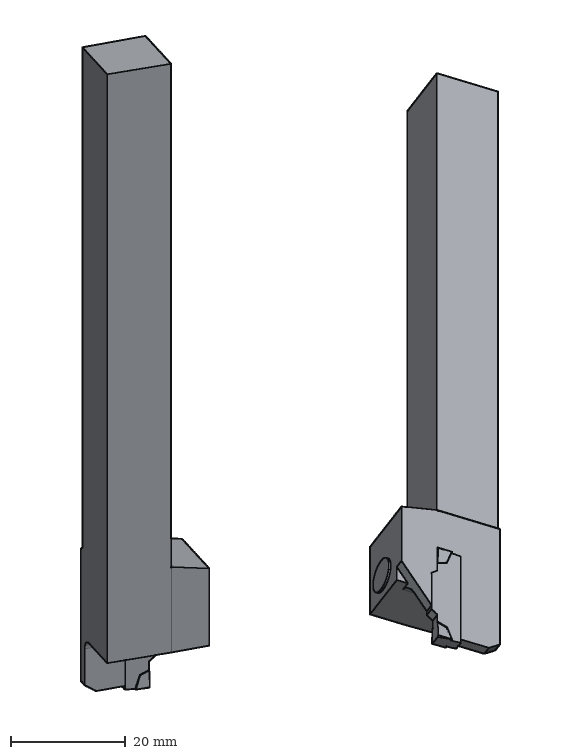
import cadquery as cq

total_height = 126.4
shank_left = 1.1
shank_depth = 11.9
right_at_front = 12.6
right_at_back = 13.0
head_left = 0.4
head_depth = 19.1
head_bottom = 11.8
ledge_height = 28.3
ledge_ridge = 12.4
ledge_back_height = 26.8
ramp_rise = shank_left - head_left

blade_right = 2.3
blade_bottom = 1.1
blade_fillet = 1.9
blade_nose_depth = 2.1
blade_nose_height = 2.7
blade_slope_top = 14.7
blade_slope_bottom_depth = 9.1

screw_x = 7.8
screw_z = 16.7
screw_radius = 3.2
screw_height = 0.4

insert_height = 20.0
insert_front = 7.6
insert_back = 12.1
pad_back = 13.3
pad_half_height = 4.0
pad_ramp = 0.9
end_relief = 0.4
tip_width = 2.7
tip_front = 9.5
tip_knee = 10.4
tip_height = 3.4
tip_knee_height = 2.8
tip_corner = 0.3
tip_taper = 0.3


def side_prism(points, left, right):
    """Prism along X from a closed outline of (y, z) points."""
    outline = cq.Workplane("YZ").workplane(offset=left).polyline(points).close()
    return outline.extrude(right - left)


def make_shank_and_head():
    shank = (
        cq.Workplane("XY").workplane(offset=head_bottom)
        .moveTo(shank_left, 0)
        .lineTo(right_at_back, 0)
        .lineTo(right_at_back, shank_depth)
        .lineTo(shank_left, shank_depth)
        .close().extrude(total_height - head_bottom)
    )
    head = side_prism(
        [
            (0, head_bottom),
            (head_depth, head_bottom),
            (head_depth, ledge_back_height),
            (ledge_ridge, ledge_height),
            (0, ledge_height),
        ],
        head_left, right_at_back,
    )
    ramp = (
        cq.Workplane("XZ")
        .polyline([
            (head_left, ledge_height),
            (shank_left, ledge_height),
            (shank_left, ledge_height + ramp_rise),
        ])
        .close().extrude(-shank_depth)
    )
    lean_cut = (
        cq.Workplane("XY")
        .polyline([(right_at_front, 0), (right_at_back, 0), (right_at_back, shank_depth)])
        .close().extrude(total_height)
    )
    return shank.union(head).union(ramp).cut(lean_cut)


def blade_outline():
    return [
        (0, blade_nose_height),
        (blade_nose_depth, blade_bottom),
        (blade_slope_bottom_depth, blade_bottom),
        (head_depth, blade_slope_top),
        (head_depth, ledge_back_height),
        (0, ledge_back_height),
    ]


def make_blade():
    """Sloped blade whose +X side blends into the head underside."""
    fillet_end = blade_right + blade_fillet
    blade_profile = (
        cq.Workplane("XZ")
        .moveTo(head_left, 0)
        .lineTo(blade_right, 0)
        .lineTo(blade_right, head_bottom - blade_fillet)
        .radiusArc((fillet_end, head_bottom), blade_fillet)
        .lineTo(head_left, head_bottom)
        .close().extrude(-head_depth)
    )
    return blade_profile.intersect(side_prism(blade_outline(), head_left, fillet_end))


def make_slope_relief():
    """Corner removed from the head where the blade slope runs up its -X side."""
    slope_run = head_depth - blade_slope_bottom_depth
    slope = (blade_slope_top - blade_bottom) / slope_run
    relief_front = head_depth - (blade_slope_top - head_bottom) / slope
    return side_prism(
        [(relief_front, head_bottom), (head_depth, head_bottom), (head_depth, blade_slope_top)],
        head_left, blade_right,
    )


def make_screw_head():
    return (
        cq.Workplane("XZ", origin=(0, head_depth, 0))
        .center(screw_x, screw_z)
        .circle(screw_radius).extrude(-screw_height)
    )


def make_lower_tip():
    """Cutting tip with bevelled corners and sides that taper in behind the edge."""
    relief_slope = end_relief / (insert_back - insert_front)
    side_outline = [
        (insert_back, 0),
        (tip_front, relief_slope * (insert_back - tip_front)),
        (tip_knee, tip_knee_height),
        (insert_back, tip_height),
    ]
    left_edge = [
        (tip_corner, 0),
        (0, tip_corner),
        (tip_taper, tip_height),
    ]
    right_edge = [(tip_width - x, z) for x, z in reversed(left_edge)]
    width_profile = cq.Workplane("XZ").polyline(left_edge + right_edge).close().extrude(-insert_back)
    return side_prism(side_outline, 0, tip_width).intersect(width_profile)


def make_insert():
    middle = insert_height / 2
    lower_half = [
        (insert_front, end_relief),
        (insert_back, 0),
        (insert_back, middle - pad_half_height - pad_ramp),
        (pad_back, middle - pad_half_height),
    ]
    upper_half = [(y, insert_height - z) for y, z in reversed(lower_half)]
    insert = side_prism(lower_half + upper_half, head_left, blade_right)

    lower_tip = make_lower_tip()
    upper_tip = lower_tip.mirror("XY", (0, 0, middle))
    return insert.union(lower_tip).union(upper_tip)


insert = make_insert()
holder = make_shank_and_head().union(make_blade()).cut(make_slope_relief())
holder = holder.union(make_screw_head()).cut(insert)

result = cq.Compound.makeCompound([holder.val(), insert.val()])